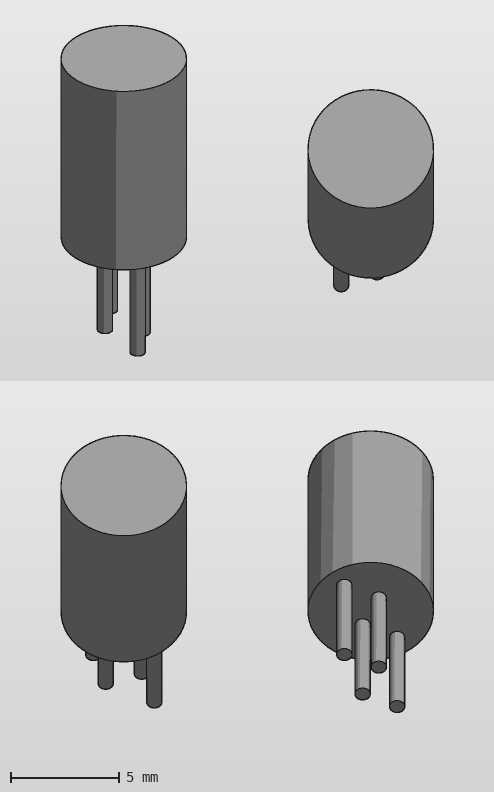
import cadquery as cq

total_height = 14.8
pin_length = 5.1
case_height = total_height - pin_length
case_diameter = 5.8

pin_diameter = 0.71
pin_count = 4
pin_pitch = 1.25
row_spacing = pin_pitch


def make_case():
    """Plain cylindrical case standing on the XY plane."""
    return cq.Workplane("XY").circle(case_diameter / 2).extrude(case_height)


def make_pin(x, y):
    """Straight round pin hanging from the underside of the case."""
    return cq.Workplane("XY").center(x, y).circle(pin_diameter / 2).extrude(-pin_length)


case = make_case()

pins = []
for index in range(pin_count):
    pin_x = (index - (pin_count - 1) / 2) * pin_pitch
    row_side = 1 if index % 2 == 0 else -1
    pins.append(make_pin(pin_x, row_side * row_spacing / 2))

result = cq.Compound.makeCompound([case.val(), *[pin.val() for pin in pins]])